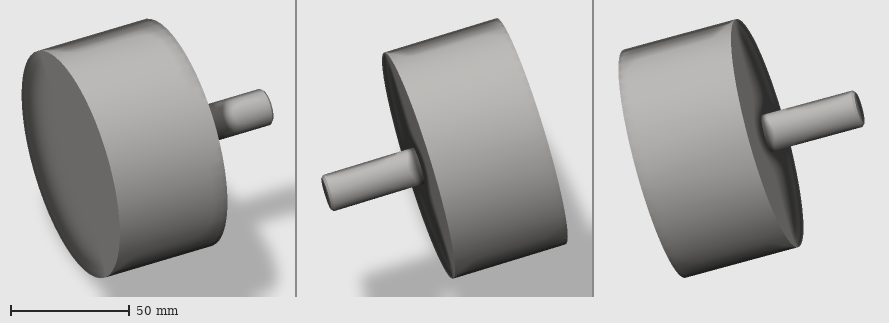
import cadquery as cq

pad_diameter = 100.0
pad_thickness = 50.0

stud_diameter = 16.0
stud_length = 41.0
stud_chamfer = 1.0


def cylinder_along_y(diameter, length, start_y):
    """Solid cylinder on the Y axis, running from start_y towards +Y."""
    plane = cq.Plane(origin=(0, start_y, 0), xDir=(-1, 0, 0), normal=(0, 1, 0))
    return cq.Workplane(plane).circle(diameter / 2).extrude(length)


def make_pad():
    return cylinder_along_y(pad_diameter, pad_thickness, 0)


def make_stud():
    """Rod seated on the pad, with its free end chamfered."""
    rod = cylinder_along_y(stud_diameter, stud_length, pad_thickness)
    return rod.faces(">Y").chamfer(stud_chamfer)


pad = make_pad()
stud = make_stud()

result = cq.Compound.makeCompound([pad.val(), stud.val()])